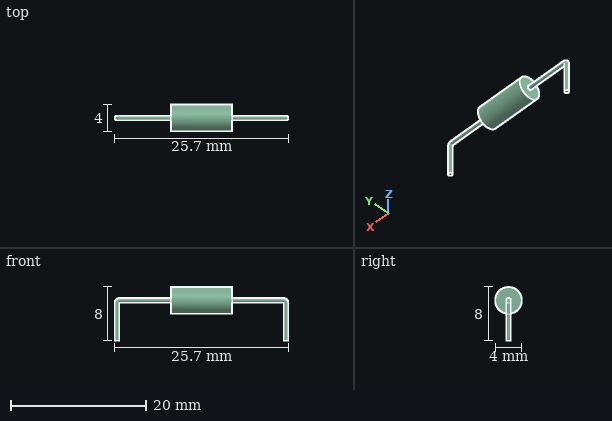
import cadquery as cq

overall_length = 25.73
overall_height = 8.0
housing_diameter = 4.0
housing_length = 9.03
lead_diameter = 0.72
inside_bend_radius = 0.013

lead_radius = lead_diameter / 2
bend_radius = lead_radius + inside_bend_radius
leg_x = overall_length / 2 - lead_radius
leg_bottom_z = housing_diameter / 2 - overall_height


def make_housing():
    """Plain cylinder centred on the origin, along X."""
    return (
        cq.Workplane("YZ")
        .workplane(offset=-housing_length / 2)
        .circle(housing_diameter / 2)
        .extrude(housing_length)
    )


def make_lead(side):
    """Bent wire from one housing end face; side is -1 or +1 along X."""
    bend_x = leg_x - bend_radius
    straight = (
        cq.Workplane("YZ")
        .workplane(offset=housing_length / 2)
        .circle(lead_radius)
        .extrude(bend_x - housing_length / 2)
    )
    bend = (
        cq.Workplane("YZ", origin=(bend_x, 0, 0))
        .circle(lead_radius)
        .revolve(90, (0, -bend_radius), (1, -bend_radius))
    )
    leg = (
        cq.Workplane("XY", origin=(leg_x, 0, leg_bottom_z))
        .circle(lead_radius)
        .extrude(-bend_radius - leg_bottom_z)
    )
    lead = straight.union(bend).union(leg)
    if side < 0:
        lead = lead.rotate((0, 0, 0), (0, 0, 1), 180)
    return lead


housing = make_housing()
leads = [make_lead(side) for side in (-1, 1)]

result = cq.Compound.makeCompound([housing.val(), *[lead.val() for lead in leads]])